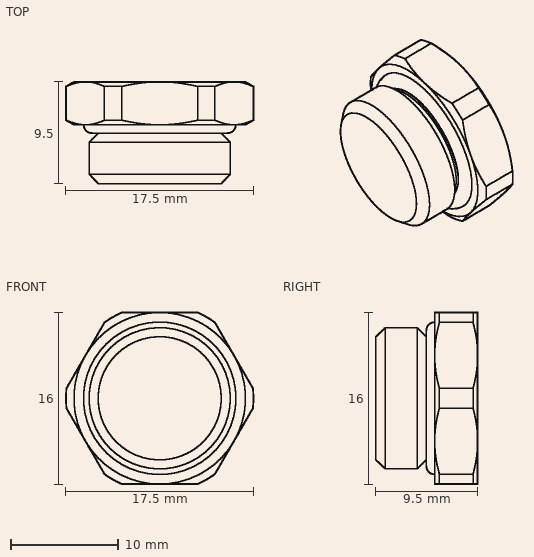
import cadquery as cq
import math

total_length = 9.5
hex_thickness = 4.0
across_flats = 16.0
corner_diameter = 17.5
hex_chamfer_angle = 30.0

ring_outer_radius = 7.1
ring_section_radius = 0.79

body_radius = 6.58
body_end_radius = 5.74
tip_chamfer_length = 0.9
neck_radius = body_end_radius

back_y = total_length
hex_front_y = back_y - hex_thickness
body_back_y = hex_front_y - ring_section_radius
root_chamfer_length = body_radius - neck_radius


def revolve_about_y(profile):
    return profile.close().revolve(360, (0, 0, 0), (0, 1, 0))


def make_hex_head():
    """Hexagon with flats on +Z and -Z, its corners turned and chamfered on both faces."""
    across_corners = across_flats / math.cos(math.radians(30))
    prism = (
        cq.Workplane("XZ", origin=(0, back_y, 0))
        .polygon(6, across_corners)
        .extrude(hex_thickness)
    )
    face_radius = across_flats / 2
    corner_radius = corner_diameter / 2
    chamfer_length = (corner_radius - face_radius) * math.tan(math.radians(hex_chamfer_angle))
    turned_blank = revolve_about_y(
        cq.Workplane("XY")
        .moveTo(0, hex_front_y)
        .lineTo(face_radius, hex_front_y)
        .lineTo(corner_radius, hex_front_y + chamfer_length)
        .lineTo(corner_radius, back_y - chamfer_length)
        .lineTo(face_radius, back_y)
        .lineTo(0, back_y)
    )
    return prism.intersect(turned_blank)


def make_body():
    """Cylindrical plug, chamfered at both ends, with the neck that carries the ring."""
    return revolve_about_y(
        cq.Workplane("XY")
        .lineTo(body_end_radius, 0)
        .lineTo(body_radius, tip_chamfer_length)
        .lineTo(body_radius, body_back_y - root_chamfer_length)
        .lineTo(neck_radius, body_back_y)
        .lineTo(neck_radius, hex_front_y)
        .lineTo(0, hex_front_y)
    )


def make_sealing_ring():
    """Half-round sealing ring standing on the front face of the head."""
    inner_radius = ring_outer_radius - 2 * ring_section_radius
    middle_radius = ring_outer_radius - ring_section_radius
    return revolve_about_y(
        cq.Workplane("XY")
        .moveTo(inner_radius, hex_front_y)
        .threePointArc((middle_radius, body_back_y), (ring_outer_radius, hex_front_y))
    )


result = make_hex_head().union(make_body()).union(make_sealing_ring())